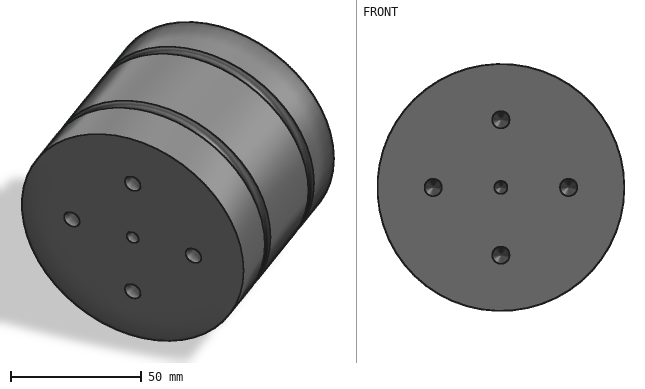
import cadquery as cq
import math

drum_diameter = 95.0
drum_length = 78.9
drum_radius = drum_diameter / 2

boss_diameter = 55.0
total_length = 90.0

groove_profile_diameter = 5.0
groove_positions = (21.0, 59.0)

center_hole_diameter = 5.0
outer_hole_diameter = 6.65
outer_hole_offset = 26.0
outer_hole_count = 4
hole_depth = 14.25
drill_point_angle = 118.0


def cylinder_along_y(diameter, length):
    """Cylinder on the Y axis running from Y = 0 to Y = length."""
    return cq.Workplane("XZ").circle(diameter / 2).extrude(-length)


def groove_ring(y):
    """Ring of circular section around the drum surface at the given Y."""
    return (
        cq.Workplane("XY")
        .center(drum_radius, y)
        .circle(groove_profile_diameter / 2)
        .revolve(360, (-drum_radius, 0, 0), (-drum_radius, 1, 0))
    )


def drilled_hole(x, z, diameter):
    """Drill shape entering the front face at (x, z) and pointing along +Y."""
    radius = diameter / 2
    tip_length = radius / math.tan(math.radians(drill_point_angle / 2))
    profile = (
        cq.Workplane("XY")
        .polyline([(0, 0), (radius, 0), (radius, hole_depth), (0, hole_depth + tip_length)])
        .close()
    )
    return profile.revolve(360, (0, 0, 0), (0, 1, 0)).translate((x, 0, z))


result = cylinder_along_y(drum_diameter, drum_length)
result = result.union(cylinder_along_y(boss_diameter, total_length))

for groove_y in groove_positions:
    result = result.cut(groove_ring(groove_y))

result = result.cut(drilled_hole(0, 0, center_hole_diameter))
for index in range(outer_hole_count):
    angle = 2 * math.pi * index / outer_hole_count
    hole_x = outer_hole_offset * math.cos(angle)
    hole_z = outer_hole_offset * math.sin(angle)
    result = result.cut(drilled_hole(hole_x, hole_z, outer_hole_diameter))